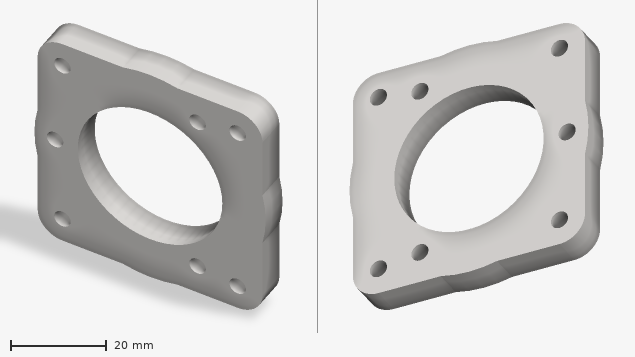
import cadquery as cq
import math

thickness = 7.0
bore_diameter = 35.0
rim_diameter = 56.0
corner_radius = 6.0
screw_hole_diameter = 4.0
corner_bolt_circle = 60.0
inner_bolt_circle = 46.0
inner_hole_angles = [60, 180, 300]

corner_offset = corner_bolt_circle / 2 * math.cos(math.radians(45))
square_side = 2 * (corner_offset + corner_radius)
back_face_origin = (0, thickness / 2, 0)


def make_body():
    """Rounded square plate joined with a rim disc that bulges at mid-side."""
    square = (
        cq.Workplane("XZ", origin=back_face_origin)
        .rect(square_side, square_side)
        .extrude(thickness)
        .edges("|Y")
        .fillet(corner_radius)
    )
    rim = cq.Workplane("XZ", origin=back_face_origin).circle(rim_diameter / 2).extrude(thickness)
    return square.union(rim)


def make_holes(points, diameter):
    """Cutters through the whole thickness at (X, Z) points."""
    return (
        cq.Workplane("XZ", origin=back_face_origin)
        .pushPoints(points)
        .circle(diameter / 2)
        .extrude(thickness)
    )


def inner_hole_points():
    """(X, Z) centres of the holes around the bore."""
    radius = inner_bolt_circle / 2
    angles = [math.radians(angle) for angle in inner_hole_angles]
    return [(radius * math.cos(angle), radius * math.sin(angle)) for angle in angles]


def corner_hole_points():
    """(X, Z) centres of the four corner holes."""
    return [(x * corner_offset, z * corner_offset) for x in (-1, 1) for z in (-1, 1)]


result = (
    make_body()
    .cut(make_holes([(0, 0)], bore_diameter))
    .cut(make_holes(corner_hole_points(), screw_hole_diameter))
    .cut(make_holes(inner_hole_points(), screw_hole_diameter))
)